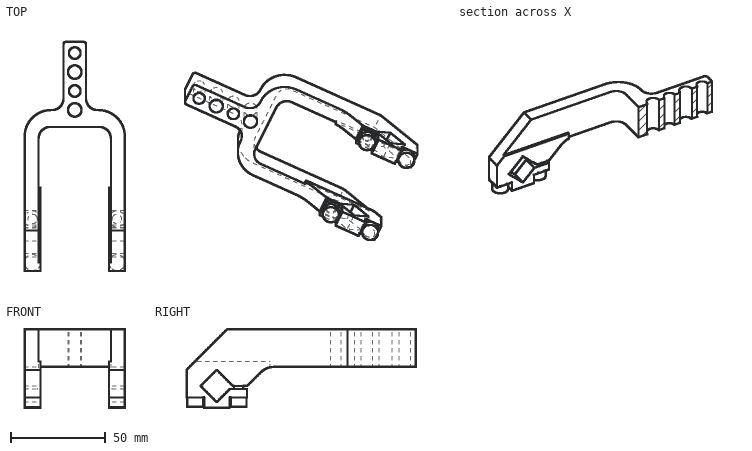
import cadquery as cq
import math

FORK_WIDTH = 53.0
FORK_LENGTH = 121.0
TOTAL_HEIGHT = 41.5
BODY_HEIGHT = 20.0
ARM_THICKNESS = 7.5
STEM_WIDTH = 12.0
STEM_LENGTH = 36.0
BRIDGE_THICKNESS = 9.0
OUTER_CORNER_RADIUS = 14.0
INNER_CORNER_RADIUS = 6.0
STEM_ROOT_RADIUS = 6.0
STEM_TIP_RADIUS = 1.5

HOLE_DIAMETERS = (6.0, 7.0, 6.0, 7.0)
HOLE_PITCH = 10.0
FIRST_HOLE_FROM_TIP = 6.0

CLAMP_LENGTH = 32.0
TIP_SLOPE_DEPTH = 21.5
UNDERSIDE_ANGLE = math.radians(45.0)
UNDERSIDE_RADIUS = 10.0
BORE_SIDE = 12.0
BORE_FROM_TIP = 15.9
BORE_DEPTH = 30.0
SLIT_HEIGHT = 1.5

PAD_THICKNESS = 1.0
PAD_TOP_DEPTH = 17.0
PAD_LENGTH = 44.0

SHANK_DIAMETER = 5.0
HEAD_DIAMETER = 8.5
HEAD_LENGTH = 5.0
HEAD_SEAT_DEPTH = 36.0
HEAD_NOTCH_LENGTH = 9.25
SCREW_INSET = 4.5

HALF_WIDTH = FORK_WIDTH / 2
INNER_HALF_WIDTH = HALF_WIDTH - ARM_THICKNESS
CLAMP_THICKNESS = ARM_THICKNESS + PAD_THICKNESS
BRIDGE_BACK = FORK_LENGTH - STEM_LENGTH
BRIDGE_FRONT = BRIDGE_BACK - BRIDGE_THICKNESS
SCREW_POSITIONS = (SCREW_INSET, CLAMP_LENGTH - SCREW_INSET)


def box(x_range, y_range, z_range):
    """Axis-aligned box between the given (low, high) limits."""
    lows, highs = zip(x_range, y_range, z_range)
    sizes = [high - low for low, high in zip(lows, highs)]
    return cq.Workplane("XY").box(*sizes, centered=False).translate(lows)


def make_plan():
    """Fork seen in plan, extruded through the full height."""
    full_z = (-TOTAL_HEIGHT, 0)
    half_stem = STEM_WIDTH / 2
    frame = box((-HALF_WIDTH, HALF_WIDTH), (0, BRIDGE_BACK), full_z)
    frame = frame.edges("|Z and >Y").fillet(OUTER_CORNER_RADIUS)
    stem = box((-half_stem, half_stem), (BRIDGE_FRONT, FORK_LENGTH), full_z)
    stem = stem.edges("|Z and >Y").fillet(STEM_TIP_RADIUS)
    root_points = [(x, BRIDGE_BACK, -TOTAL_HEIGHT / 2) for x in (-half_stem, half_stem)]
    solid = frame.union(stem)
    for point in root_points:
        root_edge = cq.selectors.NearestToPointSelector(point)
        solid = solid.edges("|Z").edges(root_edge).fillet(STEM_ROOT_RADIUS)
    opening = box((-INNER_HALF_WIDTH, INNER_HALF_WIDTH), (0, BRIDGE_FRONT), full_z)
    opening = opening.edges("|Z and >Y").fillet(INNER_CORNER_RADIUS)
    return solid.cut(opening)


def make_pad(side):
    """Pad that thickens the lower inner face of one arm."""
    inner = side * (INNER_HALF_WIDTH - PAD_THICKNESS)
    outer = side * HALF_WIDTH
    x_range = (min(inner, outer), max(inner, outer))
    return box(x_range, (0, PAD_LENGTH), (-TOTAL_HEIGHT, -PAD_TOP_DEPTH))


def extrude_across(sketch):
    """Extrude a side-profile sketch across the full fork width."""
    return sketch.extrude(HALF_WIDTH, both=True)


def make_side_profile():
    """Side silhouette: sloped arm tip, clamp block and sloped underside."""
    underside_corner = CLAMP_LENGTH + (BORE_DEPTH - BODY_HEIGHT) / math.tan(UNDERSIDE_ANGLE)
    tangent = UNDERSIDE_RADIUS * math.tan(UNDERSIDE_ANGLE / 2)
    arc_end = (
        underside_corner - tangent * math.cos(UNDERSIDE_ANGLE),
        -BODY_HEIGHT - tangent * math.sin(UNDERSIDE_ANGLE),
    )
    outline = (
        cq.Workplane("YZ")
        .moveTo(0, -TOTAL_HEIGHT)
        .lineTo(0, -TIP_SLOPE_DEPTH)
        .lineTo(TIP_SLOPE_DEPTH, 0)
        .lineTo(FORK_LENGTH, 0)
        .lineTo(FORK_LENGTH, -BODY_HEIGHT)
        .lineTo(underside_corner + tangent, -BODY_HEIGHT)
        .radiusArc(arc_end, -UNDERSIDE_RADIUS)
        .lineTo(CLAMP_LENGTH, -BORE_DEPTH)
        .lineTo(CLAMP_LENGTH, -TOTAL_HEIGHT)
        .close()
    )
    return extrude_across(outline)


def make_clamp_cuts():
    """Diamond bore, slit and screw-head notches through both arms."""
    full_x = (-HALF_WIDTH, HALF_WIDTH)
    half_diagonal = BORE_SIDE * math.sqrt(0.5)
    bore = extrude_across(
        cq.Workplane("YZ")
        .moveTo(BORE_FROM_TIP - half_diagonal, -BORE_DEPTH)
        .lineTo(BORE_FROM_TIP, -BORE_DEPTH + half_diagonal)
        .lineTo(BORE_FROM_TIP + half_diagonal, -BORE_DEPTH)
        .lineTo(BORE_FROM_TIP, -BORE_DEPTH - half_diagonal)
        .close()
    )
    slit = box(full_x, (BORE_FROM_TIP, CLAMP_LENGTH), (-BORE_DEPTH - SLIT_HEIGHT, -BORE_DEPTH))
    cuts = bore.union(slit)
    for start in (0, CLAMP_LENGTH - HEAD_NOTCH_LENGTH):
        y_range = (start, start + HEAD_NOTCH_LENGTH)
        cuts = cuts.union(box(full_x, y_range, (-TOTAL_HEIGHT, -HEAD_SEAT_DEPTH)))
    return cuts


def make_screw(x, y):
    """Screw head below its seat, with a shank reaching up across the slit."""
    seat = cq.Workplane("XY", origin=(x, y, -HEAD_SEAT_DEPTH))
    head = seat.circle(HEAD_DIAMETER / 2).extrude(-HEAD_LENGTH)
    shank = seat.circle(SHANK_DIAMETER / 2).extrude(HEAD_SEAT_DEPTH - BORE_DEPTH)
    return head.union(shank)


def make_stem_holes():
    """Vertical holes along the stem, counted from its tip."""
    holes = cq.Workplane("XY")
    for index, diameter in enumerate(HOLE_DIAMETERS):
        y = FORK_LENGTH - FIRST_HOLE_FROM_TIP - index * HOLE_PITCH
        hole = cq.Workplane("XY", origin=(0, y, 0)).circle(diameter / 2).extrude(-BODY_HEIGHT)
        holes = holes.add(hole)
    return holes.combine()


fork = make_plan()
for arm_side in (-1, 1):
    fork = fork.union(make_pad(arm_side))
fork = fork.intersect(make_side_profile())
fork = fork.cut(make_clamp_cuts()).cut(make_stem_holes())

for arm_side in (-1, 1):
    screw_x = arm_side * (HALF_WIDTH - CLAMP_THICKNESS / 2)
    for screw_y in SCREW_POSITIONS:
        fork = fork.union(make_screw(screw_x, screw_y))

result = fork